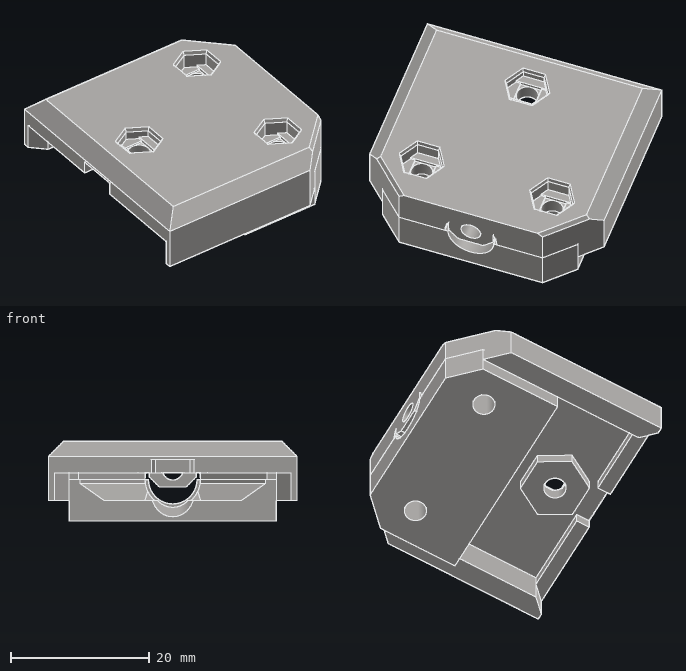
import cadquery as cq
import math


width = 36.0
depth = 32.0
total_height = 11.6
cover_height = 8.6
corner_cut = 7.0
edge_chamfer = 2.2
corner_chamfer = 0.55

side_wall = 3.0
wall_lip = 0.9
roof = 2.63
front_lip_height = 4.6
parting_depth = 5.58
cover_block_length = 16.65
front_slot_width = 6.2

screw_diameter = 3.2
nut_flats = 5.55
nut_lead_in = 0.2
nut_lead_in_depth = 0.58
step_height = 0.3
rear_nut_depth = 2.52
front_nut_depth = 1.6
rear_screw_x = 10.0
rear_screw_inset = 7.0
rear_screw_y = depth - rear_screw_inset
front_screw_y = 7.5
boss_corner_diameter = 10.0

sleeve_outer_diameter = 8.0
sleeve_inner_diameter = 7.0
passage_length = 7.0
sleeve_length = 13.5
tongue_width = 6.85
tongue_tip_width = 3.85
tongue_bottom = 6.65
wire_hole_diameter = 3.0

base_length = 16.4
pocket_wall_bottom = 6.12
pocket_floor = cover_height
ramp_length = 3.55
ramp_angle = 30.0
groove_diameter = 6.2
groove_angle = 25.0
groove_front_bottom = 10.95

inner_width = width - 2 * side_wall
lip_thickness = side_wall - wall_lip
block_front = depth - cover_block_length
base_front = depth - base_length
passage_front = depth - passage_length
funnel_half_width = sleeve_outer_diameter / 2 + passage_front - block_front
hexagon_ratio = 1 / math.cos(math.pi / 6)
nut_corners = nut_flats * hexagon_ratio


def plan_prism(points, top, bottom):
    """Upright prism on a plan outline, between two depths below the top face."""
    return cq.Workplane("XY").workplane(offset=-bottom).polyline(points).close().extrude(bottom - top)


def plan_box(box_width, front, rear, top, bottom):
    """Box centred on X = 0."""
    size = (box_width, rear - front, bottom - top)
    return cq.Workplane("XY").box(*size, centered=(True, False, False)).translate((0, front, -bottom))


def y_cylinder(diameter, front, rear, axis_depth):
    """Cylinder along Y whose axis is on X = 0."""
    plane = cq.Workplane("XZ", origin=(0, front, -axis_depth))
    return plane.circle(diameter / 2).extrude(front - rear)


def outline_points():
    half = width / 2
    side_end = depth - corner_cut
    cut_end = half - corner_cut
    return [(-half, 0), (half, 0), (half, side_end), (cut_end, depth), (-cut_end, depth), (-half, side_end)]


def funnel_points(front_half_width):
    """Plan outline that narrows at 45 degrees from the block front to the passage."""
    rear_half_width = front_half_width - (passage_front - block_front)
    return [(-front_half_width, block_front), (front_half_width, block_front),
            (rear_half_width, passage_front), (-rear_half_width, passage_front)]



def cover_shell():
    shell = plan_prism(outline_points(), 0, cover_height)
    shell = shell.faces(">Z").edges("<X or >X or <Y").chamfer(edge_chamfer)
    for side in (-1, 1):
        middle = (side * (width - corner_cut) / 2, depth - corner_cut / 2, 0)
        shell = shell.edges(cq.selectors.NearestToPointSelector(middle)).chamfer(corner_chamfer)
    return shell


def front_opening():
    """Space below the front lip, between the tapered ends of the side walls."""
    wide = width / 2 - wall_lip
    narrow = inner_width / 2
    points = [(-wide, 0), (wide, 0), (narrow, lip_thickness), (-narrow, lip_thickness)]
    return plan_prism(points, front_lip_height, cover_height)


def cover_cavity():
    cavity = plan_box(inner_width, lip_thickness, block_front, roof, cover_height)
    base_room = plan_box(inner_width, block_front, depth, parting_depth, cover_height)
    front_slot = plan_box(front_slot_width, 0, lip_thickness, roof, front_lip_height)
    return cavity.union(base_room).union(front_slot).union(front_opening())


def front_boss():
    boss = cq.Workplane("XY", origin=(0, front_screw_y, -front_lip_height))
    return boss.polygon(6, boss_corner_diameter).extrude(front_lip_height - roof)


def cable_tongue():
    """Wedge hanging in the passage that presses on the cable, with a wire hole through it."""
    half = tongue_width / 2
    tip = tongue_tip_width / 2
    shoulder = tongue_bottom - (half - tip)
    profile = [(-half, -roof), (half, -roof), (half, -shoulder), (tip, -tongue_bottom),
               (-tip, -tongue_bottom), (-half, -shoulder)]
    plane = cq.Workplane("XZ", origin=(0, passage_front, 0))
    wedge = plane.polyline(profile).close().extrude(-passage_length)
    wire_hole = y_cylinder(wire_hole_diameter, passage_front, depth, roof + wire_hole_diameter / 2)
    return wedge.cut(wire_hole)


def nut_and_screw_hole(x, y, nut_depth):
    """Hexagonal nut pocket with a flared mouth, two stepped layers and the screw hole below."""
    lead_in_corners = (nut_flats + 2 * nut_lead_in) * hexagon_ratio
    mouth = cq.Workplane("XY").polygon(6, lead_in_corners)
    mouth = mouth.workplane(offset=-nut_lead_in_depth).polygon(6, nut_corners).loft(ruled=True)
    pocket = cq.Workplane("XY").polygon(6, nut_corners).extrude(-nut_depth)
    strip = cq.Workplane("XY").polygon(6, nut_corners).extrude(-nut_depth - step_height)
    strip = strip.intersect(cq.Workplane("XY").box(nut_corners, screw_diameter, total_height))
    square = cq.Workplane("XY").rect(screw_diameter, screw_diameter).extrude(-nut_depth - 2 * step_height)
    nut_space = mouth.union(pocket).union(strip).union(square).translate((x, y, 0))
    return nut_space.union(screw_hole(x, y))


def screw_hole(x, y):
    return cq.Workplane("XY", origin=(x, y, 0)).circle(screw_diameter / 2).extrude(-total_height)


def make_cover():
    funnel = plan_prism(funnel_points(funnel_half_width), roof, parting_depth)
    cover = cover_shell().cut(cover_cavity()).cut(funnel)
    passage = y_cylinder(sleeve_outer_diameter, passage_front, depth, parting_depth)
    passage = passage.intersect(plan_box(width, 0, depth, roof, total_height))
    cover = cover.cut(passage).union(front_boss()).union(cable_tongue())
    for x in (-rear_screw_x, rear_screw_x):
        cover = cover.cut(nut_and_screw_hole(x, rear_screw_y, rear_nut_depth))
    return cover.cut(nut_and_screw_hole(0, front_screw_y, front_nut_depth))



def base_block():
    block = plan_prism(outline_points(), parting_depth, total_height)
    return block.intersect(plan_box(inner_width, base_front, depth, parting_depth, total_height))


def base_pocket():
    """Funnel-shaped pocket: upright walls, then 45 degree side slopes and a ramp at the rear."""
    slope = pocket_floor - pocket_wall_bottom
    floor_half_width = funnel_half_width - slope * math.sqrt(2)
    upright = plan_prism(funnel_points(funnel_half_width), parting_depth, pocket_wall_bottom)
    sections = []
    for half_width, level in ((funnel_half_width, pocket_wall_bottom), (floor_half_width, pocket_floor)):
        corners = [cq.Vector(x, y, -level) for x, y in funnel_points(half_width)]
        sections.append(cq.Wire.makePolygon(corners, close=True))
    sloped = cq.Workplane(cq.Solid.makeLoft(sections, True))
    ramp_start = passage_front - ramp_length
    ramp_rise = ramp_length * math.tan(math.radians(ramp_angle))
    ramp_points = [(ramp_start, -pocket_floor), (passage_front, -pocket_floor),
                   (passage_front, ramp_rise - pocket_floor)]
    ramp = cq.Workplane("YZ").polyline(ramp_points).close().extrude(inner_width / 2, both=True)
    return upright.union(sloped).cut(ramp)


def cable_groove():
    """Round groove that dips towards the front."""
    tilt = math.radians(groove_angle)
    axis_depth = groove_front_bottom - groove_diameter / 2 / math.cos(tilt)
    direction = cq.Vector(0, -math.cos(tilt), -math.sin(tilt))
    start = cq.Vector(0, base_front, -axis_depth) - direction * base_length
    return cq.Workplane(cq.Solid.makeCylinder(groove_diameter / 2, 2 * base_length, start, direction))


def cable_sleeve():
    """Lower half of a tube around the cable, reaching forward into the pocket."""
    front = depth - sleeve_length
    tube = y_cylinder(sleeve_outer_diameter, front, depth, parting_depth)
    tube = tube.cut(y_cylinder(sleeve_inner_diameter, front, depth, parting_depth))
    return tube.intersect(plan_box(width, front, depth, parting_depth, total_height))


def make_base():
    base = base_block().cut(base_pocket()).cut(cable_groove())
    base = base.cut(y_cylinder(sleeve_inner_diameter, base_front, depth, parting_depth))
    base = base.union(cable_sleeve())
    for x in (-rear_screw_x, rear_screw_x):
        base = base.cut(screw_hole(x, rear_screw_y))
    return base


cover = make_cover()
base = make_base()
result = cq.Compound.makeCompound([*cover.solids().vals(), *base.solids().vals()])